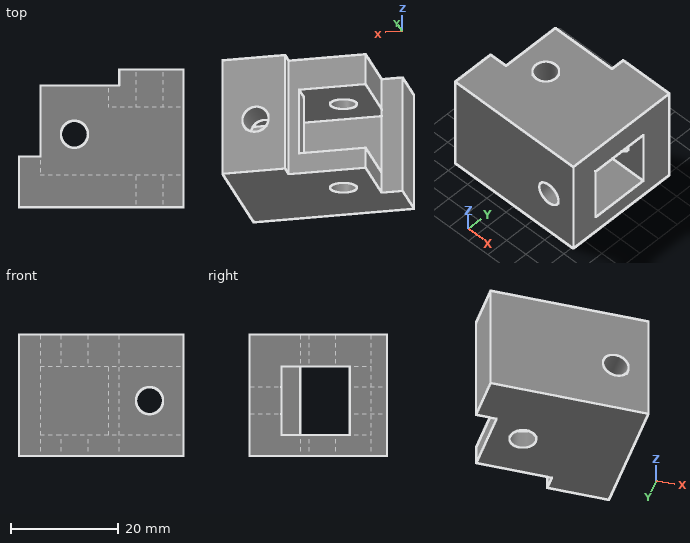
import cadquery as cq

SLOT_WIDTH = 12.7

FRONT_WALL = 6.0
BACK_WALL = 7.0
SIDE_WALL = 14.0
LOWER_PLATE = 4.0
UPPER_PLATE = 6.0

END_STOP_LENGTH = 4.0
END_STOP_DEPTH = 9.5
BACK_STEP = 3.0
BACK_FLANGE_LENGTH = 12.0

HOLE_DIAMETER = 5.0
PLATE_HOLE_Y = 13.6

length_x = END_STOP_LENGTH + SLOT_WIDTH + SIDE_WALL
depth_y = FRONT_WALL + SLOT_WIDTH + BACK_WALL
height_z = LOWER_PLATE + SLOT_WIDTH + UPPER_PLATE

plate_back_y = depth_y - BACK_STEP
flange_x = length_x - BACK_FLANGE_LENGTH
slot_mid_z = LOWER_PLATE + SLOT_WIDTH / 2
plate_hole_x = END_STOP_LENGTH + SLOT_WIDTH / 2
cross_hole_x = length_x - SLOT_WIDTH / 2


def stepped_body():
    """Solid block with a step at the -X end and another on the +Y side."""
    outline = [
        (0, 0),
        (length_x, 0),
        (length_x, depth_y),
        (flange_x, depth_y),
        (flange_x, plate_back_y),
        (END_STOP_LENGTH, plate_back_y),
        (END_STOP_LENGTH, END_STOP_DEPTH),
        (0, END_STOP_DEPTH),
    ]
    return cq.Workplane("XY").polyline(outline).close().extrude(height_z)


def slot_box(size_x, size_y):
    """Slot between the plates, starting at the corner of the end stop and front wall."""
    corner = (END_STOP_LENGTH, FRONT_WALL, LOWER_PLATE)
    box = cq.Workplane("XY").box(size_x, size_y, SLOT_WIDTH, centered=False)
    return box.translate(corner)


def crossing_slots():
    """One slot open to +X and one open to +Y, meeting between the plates."""
    slot_along_x = slot_box(length_x - END_STOP_LENGTH, SLOT_WIDTH)
    slot_along_y = slot_box(SLOT_WIDTH, depth_y - FRONT_WALL)
    return slot_along_x.union(slot_along_y)


def plate_hole():
    """Vertical hole through both plates."""
    plane = cq.Workplane("XY").center(plate_hole_x, PLATE_HOLE_Y)
    return plane.circle(HOLE_DIAMETER / 2).extrude(height_z)


def cross_hole():
    """Hole along Y through the front and back walls."""
    plane = cq.Workplane("XZ").center(cross_hole_x, slot_mid_z)
    return plane.circle(HOLE_DIAMETER / 2).extrude(-depth_y)


result = stepped_body().cut(crossing_slots()).cut(plate_hole()).cut(cross_hole())